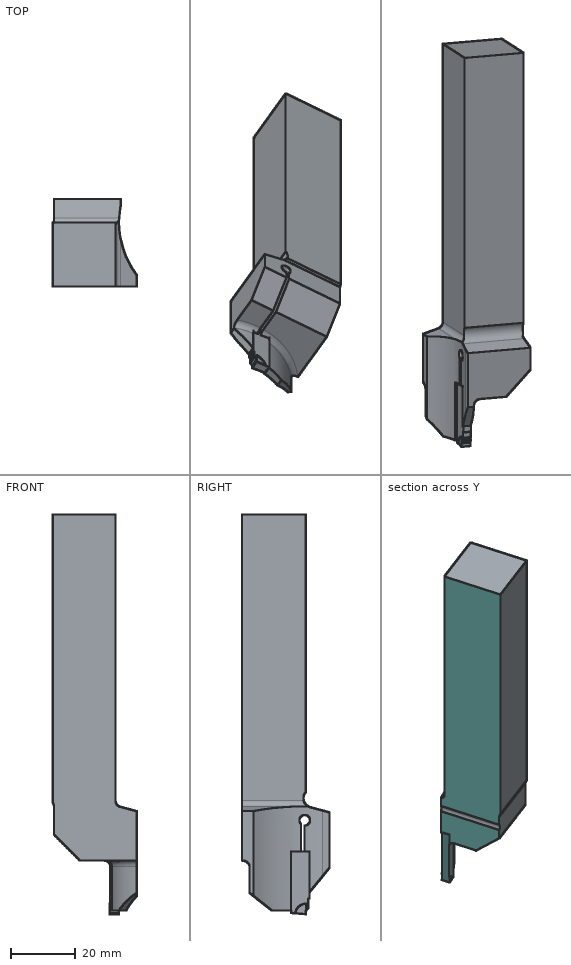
import cadquery as cq
import math


TOTAL_LENGTH = 125.0
SHANK_WIDTH = 19.6
SHANK_DEPTH = 20.0

HEAD_WIDTH = 26.2
HEAD_DEPTH = 27.4
HEAD_BOTTOM = 16.8
HEAD_RIGHT_TOP = 32.2
HEAD_BACK_TOP = 31.9
SHOULDER_ANGLE = 15.0
SHOULDER_FILLET = 2.0
LEFT_STEP = 0.4
LEFT_STEP_TOP = 35.0
LEFT_STEP_BOTTOM = 33.9
CORNER_SIZE = 8.1
BACK_WIDTH = 21.2
RELIEF_RADIUS = 2.9
RELIEF_DEPTH = 0.8

EDGE_HEIGHT = SHANK_DEPTH
OUTER_RADIUS = 23.0
OUTER_FACE = 18.0
INNER_RADIUS = 27.1
INNER_FACE = 20.8
BLADE_BOTTOM = 1.1
BLADE_CORNER_DEPTH = 9.4
BLADE_FRONT = 2.1
BLADE_CORNER_TOP = 6.9
BLADE_FILLET = 1.9
JAW_TOP = 14.5
JAW_TIP = 6.9

SLOT_CENTER = 19.0
SLOT_WIDTH = 1.0
SLOT_HOLE_Y = 19.6
SLOT_HOLE_Z = 29.4
SLOT_HOLE_DIAMETER = 3.2

INSERT_LEFT = 17.9
INSERT_WIDTH = 2.6
INSERT_FRONT = 15.4
INSERT_BACK = 21.1
INSERT_TOP = 19.6
INSERT_HEEL = 0.4
RAKE_LAND = 1.1
RAKE_RISE = 2.0
RAKE_TOP = 4.9
RAKE_BACK = 20.8
GROOVE_Z = 2.8
GROOVE_SIZE = 0.4
FLARE = 0.19
FLARE_START = 16.6
FLARE_TOP = 3.4
FLARE_BEND_Y = 17.8
FLARE_BEND_Z = 2.4

SELECT_MARGIN = 0.1

SHOULDER_SLOPE = math.tan(math.radians(SHOULDER_ANGLE))


def box(x0, x1, y0, y1, z0, z1):
    return cq.Workplane("XY").box(x1 - x0, y1 - y0, z1 - z0, centered=False).translate((x0, y0, z0))


def side_plane(x):
    """Workplane at a given X whose local axes are Y and Z."""
    return cq.Workplane("YZ").workplane(offset=x)


def edges_within(x0, x1, y0, y1, z):
    """Selector for edges whose centre lies in a flat box at height z, with a small margin all round."""
    m = SELECT_MARGIN
    return cq.selectors.BoxSelector((x0 - m, y0 - m, z - m), (x1 + m, y1 + m, z + m))


def upright_cylinder(face_x, radius):
    """Vertical cylinder whose leftmost line touches face_x at cutting-edge height."""
    return cq.Workplane("XY").center(face_x + radius, EDGE_HEIGHT).circle(radius).extrude(TOTAL_LENGTH)


def shank_and_head():
    shoulder_height = HEAD_RIGHT_TOP + (HEAD_WIDTH - SHANK_WIDTH) * SHOULDER_SLOPE
    profile = (
        cq.Workplane("XZ")
        .moveTo(0, TOTAL_LENGTH)
        .lineTo(SHANK_WIDTH, TOTAL_LENGTH)
        .lineTo(SHANK_WIDTH, shoulder_height)
        .lineTo(HEAD_WIDTH, HEAD_RIGHT_TOP)
        .lineTo(HEAD_WIDTH, HEAD_BOTTOM)
        .lineTo(LEFT_STEP + CORNER_SIZE, HEAD_BOTTOM)
        .lineTo(LEFT_STEP, HEAD_BOTTOM + CORNER_SIZE)
        .lineTo(LEFT_STEP, LEFT_STEP_BOTTOM)
        .lineTo(0, LEFT_STEP_TOP)
        .close()
        .extrude(-HEAD_DEPTH)
    )
    shoulder_edge = edges_within(SHANK_WIDTH, SHANK_WIDTH, 0, HEAD_DEPTH, shoulder_height)
    return profile.edges(shoulder_edge).fillet(SHOULDER_FILLET)


def back_clearance():
    """Space behind the shank, above the sloping back shoulder, with its relief groove."""
    angle = math.radians(SHOULDER_ANGLE)
    center_y = SHANK_DEPTH - RELIEF_DEPTH + RELIEF_RADIUS
    tangent_y = center_y - RELIEF_RADIUS * math.sin(angle)
    tangent_z = HEAD_BACK_TOP + (HEAD_DEPTH - tangent_y) * SHOULDER_SLOPE
    center_z = tangent_z + RELIEF_RADIUS * math.cos(angle)
    groove_rise = math.sqrt(RELIEF_RADIUS**2 - (center_y - SHANK_DEPTH) ** 2)
    return (
        side_plane(0)
        .moveTo(SHANK_DEPTH, TOTAL_LENGTH)
        .lineTo(SHANK_DEPTH, center_z + groove_rise)
        .threePointArc((center_y - RELIEF_RADIUS, center_z), (tangent_y, tangent_z))
        .lineTo(HEAD_DEPTH, HEAD_BACK_TOP)
        .lineTo(HEAD_DEPTH, TOTAL_LENGTH)
        .close()
        .extrude(HEAD_WIDTH)
    )


def blade():
    """Blade below the head, still joined to a plain block on its inner side."""
    stock = box(0, HEAD_WIDTH, 0, HEAD_DEPTH, 0, HEAD_BOTTOM)
    return stock.intersect(upright_cylinder(OUTER_FACE, OUTER_RADIUS))


def blade_outline():
    """Side outline that bounds the blade and the clamping jaw."""
    return (
        side_plane(0)
        .moveTo(0, TOTAL_LENGTH)
        .lineTo(0, BLADE_CORNER_TOP)
        .lineTo(BLADE_FRONT, BLADE_CORNER_TOP)
        .lineTo(BLADE_CORNER_DEPTH, BLADE_BOTTOM)
        .lineTo(INSERT_BACK, BLADE_BOTTOM)
        .lineTo(INSERT_BACK, JAW_TIP)
        .lineTo(HEAD_DEPTH, JAW_TOP)
        .lineTo(HEAD_DEPTH, TOTAL_LENGTH)
        .close()
        .extrude(HEAD_WIDTH)
    )


def clamping_slot():
    gap = box(
        0, HEAD_WIDTH,
        SLOT_CENTER - SLOT_WIDTH / 2, SLOT_CENTER + SLOT_WIDTH / 2,
        0, SLOT_HOLE_Z,
    )
    hole = side_plane(0).center(SLOT_HOLE_Y, SLOT_HOLE_Z).circle(SLOT_HOLE_DIAMETER / 2).extrude(HEAD_WIDTH)
    return gap.union(hole)


def insert_pocket():
    return box(INSERT_LEFT, HEAD_WIDTH, INSERT_FRONT, INSERT_BACK, 0, INSERT_TOP)


def make_holder():
    body = shank_and_head().cut(back_clearance()).union(blade())
    root = edges_within(OUTER_FACE, HEAD_WIDTH - 2 * SELECT_MARGIN, BLADE_FRONT, HEAD_DEPTH, HEAD_BOTTOM)
    body = body.edges(root).fillet(BLADE_FILLET)
    body = body.cut(upright_cylinder(INNER_FACE, INNER_RADIUS))
    body = body.cut(box(BACK_WIDTH, HEAD_WIDTH, EDGE_HEIGHT, HEAD_DEPTH, 0, TOTAL_LENGTH))
    body = body.intersect(blade_outline())
    return body.cut(clamping_slot()).cut(insert_pocket())


def insert_body():
    """Plain bar of the insert, with a stepped and notched rake face above the cutting edge."""
    return (
        side_plane(INSERT_LEFT)
        .moveTo(INSERT_FRONT, INSERT_HEEL)
        .lineTo(EDGE_HEIGHT, 0)
        .lineTo(EDGE_HEIGHT, RAKE_LAND)
        .lineTo(RAKE_BACK, RAKE_RISE)
        .lineTo(RAKE_BACK, GROOVE_Z - GROOVE_SIZE)
        .lineTo(RAKE_BACK - GROOVE_SIZE, GROOVE_Z)
        .lineTo(RAKE_BACK, GROOVE_Z + GROOVE_SIZE)
        .lineTo(RAKE_BACK, RAKE_TOP)
        .lineTo(INSERT_BACK, RAKE_TOP)
        .lineTo(INSERT_BACK, INSERT_TOP)
        .lineTo(INSERT_FRONT, INSERT_TOP)
        .close()
        .extrude(INSERT_WIDTH)
    )


def tip_flare():
    """Side relief of the tip: widest at the rake face, fading out towards the front, under a rounded top."""
    left = INSERT_LEFT
    right = INSERT_LEFT + INSERT_WIDTH
    wedge = (
        cq.Workplane("XY")
        .moveTo(left, FLARE_START)
        .lineTo(left - FLARE, EDGE_HEIGHT)
        .lineTo(right + FLARE, EDGE_HEIGHT)
        .lineTo(right, FLARE_START)
        .close()
        .extrude(FLARE_TOP)
    )
    side = (
        side_plane(left - FLARE)
        .moveTo(FLARE_START, INSERT_HEEL)
        .lineTo(EDGE_HEIGHT, 0)
        .lineTo(EDGE_HEIGHT, FLARE_TOP)
        .threePointArc((FLARE_BEND_Y, FLARE_BEND_Z), (FLARE_START, INSERT_HEEL))
        .close()
        .extrude(INSERT_WIDTH + 2 * FLARE)
    )
    return wedge.intersect(side)


def make_insert():
    return insert_body().union(tip_flare())


holder = make_holder()
insert = make_insert()
result = cq.Compound.makeCompound([holder.val(), insert.val()])